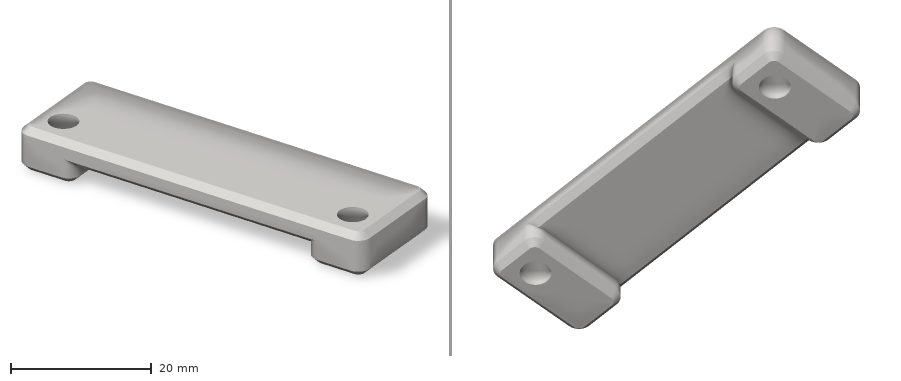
import cadquery as cq

length = 59.4
width = 18.05
height = 7.0

plate_thickness = 4.0
foot_length = 9.75
corner_radius = 2.0
edge_chamfer = 1.0

hole_diameter = 4.5
hole_inset = foot_length / 2


def rounded_block(block_length, block_height):
    """Full-width block standing on Z = 0, with round corners and chamfered rims."""
    block = cq.Workplane("XY").box(block_length, width, block_height, centered=(True, True, False))
    return block.edges("|Z").fillet(corner_radius).faces("<Z or >Z").chamfer(edge_chamfer)


plate = rounded_block(length, plate_thickness).translate((0, 0, height - plate_thickness))

body = plate
foot_center = (length - foot_length) / 2
for side in (-1, 1):
    foot = rounded_block(foot_length, height).translate((side * foot_center, 0, 0))
    body = body.union(foot)

hole_x = length / 2 - hole_inset
hole_y = hole_inset - width / 2
holes = (
    cq.Workplane("XY")
    .pushPoints([(-hole_x, hole_y), (hole_x, hole_y)])
    .circle(hole_diameter / 2)
    .extrude(height)
)

result = body.cut(holes)